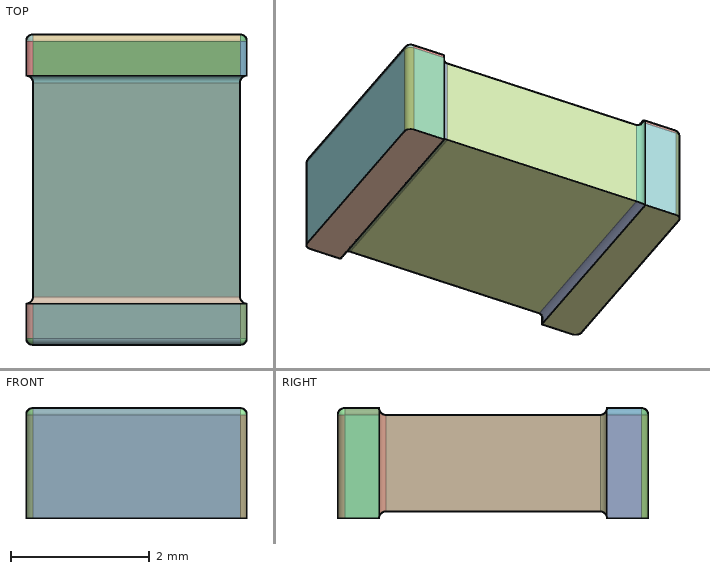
import cadquery as cq

width = 3.2
length = 4.5
height = 1.6

cap_length = 0.6
step = 0.1
edge_radius = 0.1
body_length = length - 2 * cap_length


def make_rounded_block():
    """Full-size block with every edge rounded except those around the bottom face."""
    block = cq.Workplane("XY").box(width, length, height, centered=(True, True, False))
    return block.edges("not(<Z)").fillet(edge_radius)


def waist_profile(plane, across):
    """Closed outline, `across` wide and running along Y, narrowed by the step between the caps.

    The narrow stretch is the body; a concave quarter round leads up from it to each cap.
    """
    cap_side = across / 2
    body_side = cap_side - step
    cap_start = body_length / 2
    round_start = cap_start - step
    end = length / 2
    return (
        cq.Workplane(plane)
        .moveTo(-cap_side, -end)
        .lineTo(cap_side, -end)
        .lineTo(cap_side, -cap_start)
        .radiusArc((body_side, -round_start), step)
        .lineTo(body_side, round_start)
        .radiusArc((cap_side, cap_start), step)
        .lineTo(cap_side, end)
        .lineTo(-cap_side, end)
        .lineTo(-cap_side, cap_start)
        .radiusArc((-body_side, round_start), step)
        .lineTo(-body_side, -round_start)
        .radiusArc((-cap_side, -cap_start), step)
        .close()
    )


def make_plan_waist():
    """Prism along Z that narrows the part in X between the caps."""
    return waist_profile("XY", width).extrude(height)


def make_side_waist():
    """Prism along X that narrows the part in Z between the caps."""
    plane = cq.Plane(origin=(0, 0, height / 2), xDir=(0, 0, 1), normal=(-1, 0, 0))
    return waist_profile(plane, height).extrude(width / 2, both=True)


result = make_rounded_block().intersect(make_plan_waist()).intersect(make_side_waist())